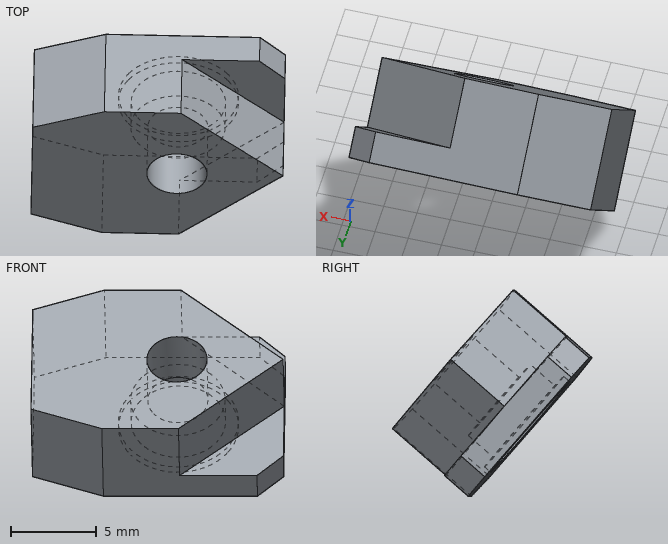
import cadquery as cq

length = 14.63
width = 10.7
thickness = 5.99
flange_thickness = 1.84
rear_chamfer_x = 4.15
corner_chamfer_y = 1.51
flange_chamfer_x = 1.51
nose_start = 8.61

hole_x = 8.45
hole_diameter = 3.5
recess_diameter = 5.5
recess_depth = 2.39
mouth_diameter = 7.0
mouth_depth = 0.47

tilt = 48.9
turn = -1.2

half_width = width / 2
end_half_width = half_width - corner_chamfer_y
rear_corners = [(0, end_half_width), (rear_chamfer_x, half_width)]


def symmetric_plate(upper_corners, height):
    """Extrude an outline given by its y >= 0 corners, mirrored about the x axis."""
    lower_corners = [(x, -y) for x, y in reversed(upper_corners) if y > 0]
    return cq.Workplane("XY").polyline(upper_corners + lower_corners).close().extrude(height)


def flange():
    front_corners = [(length - flange_chamfer_x, half_width), (length, end_half_width)]
    return symmetric_plate(rear_corners + front_corners, flange_thickness)


def pointed_body():
    """Full-height body whose nose tapers to a point on the centre line."""
    nose_corners = [(nose_start, half_width), (length, 0)]
    return symmetric_plate(rear_corners + nose_corners, thickness)


def disc(diameter, height):
    """Cylinder on the hole axis, rising from the back face."""
    return cq.Workplane("XY").center(hole_x, 0).circle(diameter / 2).extrude(height)


plate = flange().union(pointed_body())

hole_steps = [
    (hole_diameter, thickness),
    (recess_diameter, recess_depth),
    (mouth_diameter, mouth_depth),
]
for diameter, depth in hole_steps:
    plate = plate.cut(disc(diameter, depth))

result = plate.rotate((0, 0, 0), (1, 0, 0), tilt).rotate((0, 0, 0), (0, 0, 1), turn)